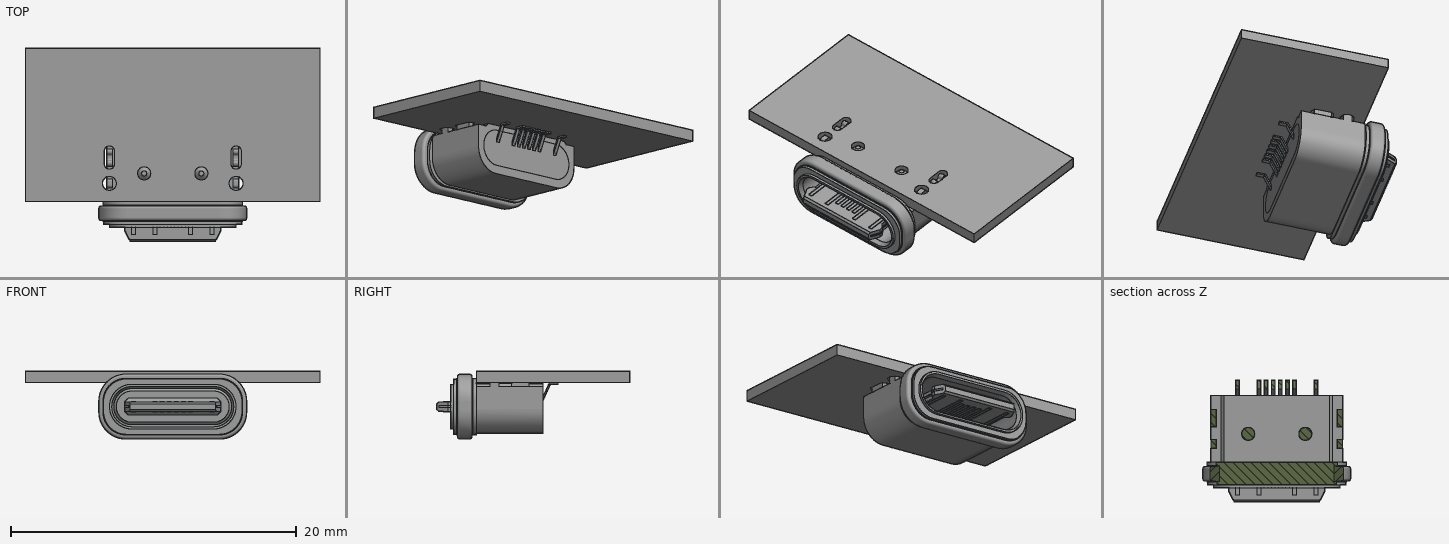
import cadquery as cq
import math


BOARD_WIDTH = 20.65
BOARD_DEPTH = 10.74
BOARD_THICKNESS = 0.8
BOARD_TOP = 2.48
BOARD_BOTTOM = BOARD_TOP - BOARD_THICKNESS

TAB_X = 4.43
SLOT_Y = 3.08
TAB_HOLE_Y = 1.27
PEG_X = 2.0
PEG_Y = 1.97
SLOT_LENGTH = 1.62
SLOT_WIDTH = 0.7
TAB_HOLE_DIAMETER = 0.97
PEG_DIAMETER = 0.92

BODY_HALF_WIDTH = 4.63
BODY_DEPTH = 4.67
BODY_TOP = 1.62
BODY_BOTTOM = -1.87
BODY_LOWER_RADIUS = 1.68
LEDGE_Z = 1.4
CROWN_HALF_WIDTH = 3.9

RING_SPAN_X = 3.27
RING_SPAN_Z = 0.365
REAR_FLANGE_RADIUS = 1.62
FRONT_FLANGE_RADIUS = 1.57
SEAL_RADIUS = 1.915
GROOVE_RADIUS = 1.47
REAR_FLANGE_CHAMFER = 0.07
SEAL_FILLET = 0.2
SEAL_BACK = -0.3
SEAL_FRONT = -1.34
FLANGE_FRONT = -1.6
SHOULDER_FRONT = -1.4
LIP_FRONT = -1.8

STADIUM_SPAN = 2.865
LIP_RADIUS = 1.565
MOUTH_RADIUS = 1.41
BORE_RADIUS = 1.265
MOUTH_DEPTH = 0.34

TAB_THICKNESS = 2 * (BODY_HALF_WIDTH - TAB_X)
TAB_TOP = 2.4
TAB_ROUND = 0.2
LONG_TAB_LENGTH = 1.22
LONG_TAB_INSET = 0.01
SHORT_TAB_LENGTH = 0.64
TAB_VALLEY_WIDTH = 0.14
TAB_VALLEY_RADIUS = 0.13
PEG_TIP_DIAMETER = 0.36
PEG_SHOULDER = 2.1
PEG_TOP = 2.4

INSERT_FRONT = 2.0
INSERT_CHAMFER = 0.175
COLLAR_FRONT = 1.6
COLLAR_HALF_WIDTH = 3.38
COLLAR_HALF_HEIGHT = 0.6
COLLAR_CORNER = 0.27
COLLAR_BEVEL = 0.26
TONGUE_TIP = -2.78
TONGUE_TAPER_START = -2.0
TONGUE_HALF_WIDTH = 3.36
TONGUE_TIP_HALF_WIDTH = 2.98
NECK_START = -1.7
NECK_INSET = 0.3
TONGUE_HALF_HEIGHT = 0.335
TONGUE_TIP_CHAMFER = 0.14
PLATE_THICKNESS = 0.13
PLATE_OVERHANG = 0.03
PLATE_FRONT = -2.62
CONTACT_WIDTH = 0.26
CONTACT_HEIGHT = 0.036
LONG_CONTACT_FRONT = -2.32
SHORT_CONTACT_FRONT = -1.8
LONG_CONTACT_XS = (-2.75, -1.25, 1.25, 2.75)
SHORT_CONTACT_XS = (-0.75, -0.25, 0.25, 0.75)
LEAD_THICKNESS = 0.12
LEAD_END = 5.73
LEAD_BEND = 5.11
LEAD_ROOT_Z = 0.72


def xz_plane(y):
    """Sketch plane across the plug axis; extruding runs toward -Y."""
    return cq.Workplane("XZ", origin=(0, y, 0))


def centered_box(width, height, y_back, y_front):
    return xz_plane(y_back).rect(width, height).extrude(y_back - y_front)


def ring_block(radius, y_back, y_front):
    block = centered_box(2 * (RING_SPAN_X + radius), 2 * (RING_SPAN_Z + radius), y_back, y_front)
    return block.edges("|Y").fillet(radius)


def stadium(plane, radius):
    return plane.slot2D(2 * (STADIUM_SPAN + radius), 2 * radius)


def stadium_block(radius, y_back, y_front):
    return stadium(xz_plane(y_back), radius).extrude(y_back - y_front)


def board_sketch(x, y):
    """Sketch plane on the underside of the board, centred on one opening."""
    return cq.Workplane("XY", origin=(x, y, BOARD_BOTTOM))


def make_board():
    board = cq.Workplane("XY").box(BOARD_WIDTH, BOARD_DEPTH, BOARD_THICKNESS, centered=(True, False, False))
    board = board.translate((0, 0, BOARD_BOTTOM))
    for side in (-1, 1):
        slot = board_sketch(side * TAB_X, SLOT_Y).slot2D(SLOT_LENGTH, SLOT_WIDTH, 90)
        tab_hole = board_sketch(side * TAB_X, TAB_HOLE_Y).circle(TAB_HOLE_DIAMETER / 2)
        peg_hole = board_sketch(side * PEG_X, PEG_Y).circle(PEG_DIAMETER / 2)
        for opening in (slot, tab_hole, peg_hole):
            board = board.cut(opening.extrude(BOARD_THICKNESS))
    return board


def make_body():
    """Block with rounded lower corners and a raised, bevelled crown between two side ledges."""
    body = centered_box(2 * BODY_HALF_WIDTH, LEDGE_Z - BODY_BOTTOM, BODY_DEPTH, 0)
    body = body.translate((0, 0, (LEDGE_Z + BODY_BOTTOM) / 2))
    body = body.edges("|Y and <Z").fillet(BODY_LOWER_RADIUS)
    crown_top_half_width = CROWN_HALF_WIDTH - (BODY_TOP - LEDGE_Z)
    crown = xz_plane(BODY_DEPTH).polyline([
        (-CROWN_HALF_WIDTH, LEDGE_Z),
        (CROWN_HALF_WIDTH, LEDGE_Z),
        (crown_top_half_width, BODY_TOP),
        (-crown_top_half_width, BODY_TOP),
    ]).close().extrude(BODY_DEPTH)
    return body.union(crown)


def make_flange():
    rear = ring_block(REAR_FLANGE_RADIUS, 0, SEAL_BACK).faces("<Y").edges().chamfer(REAR_FLANGE_CHAMFER)
    groove_core = ring_block(GROOVE_RADIUS, 0, FLANGE_FRONT)
    front = ring_block(FRONT_FLANGE_RADIUS, SEAL_FRONT, FLANGE_FRONT)
    shoulder = ring_block(REAR_FLANGE_RADIUS, SEAL_FRONT, SHOULDER_FRONT)
    lip = stadium_block(LIP_RADIUS, SEAL_FRONT, LIP_FRONT)
    return rear.union(groove_core).union(shoulder).union(front).union(lip)


def make_bore():
    bore = stadium_block(BORE_RADIUS, BODY_DEPTH, LIP_FRONT)
    mouth_taper = math.degrees(math.atan((MOUTH_RADIUS - BORE_RADIUS) / MOUTH_DEPTH))
    mouth_sketch = stadium(xz_plane(LIP_FRONT), MOUTH_RADIUS)
    mouth = mouth_sketch.extrude(-MOUTH_DEPTH, taper=mouth_taper)
    return bore.union(mouth)


def make_short_tab(x):
    height = TAB_TOP - LEDGE_Z
    tab = cq.Workplane("XY").box(TAB_THICKNESS, SHORT_TAB_LENGTH, height, centered=(True, True, False))
    tab = tab.faces(">Z").edges("|X").fillet(TAB_ROUND)
    return tab.translate((x, TAB_HOLE_Y, LEDGE_Z))


def make_long_tab(x):
    """Tab with two rounded humps and a flat valley between them."""
    half_length = LONG_TAB_LENGTH / 2
    shoulder = TAB_TOP - TAB_ROUND
    valley_floor = shoulder - TAB_VALLEY_RADIUS
    valley_end = TAB_VALLEY_WIDTH / 2
    hump_inner = valley_end + TAB_VALLEY_RADIUS
    profile = (
        cq.Workplane("YZ", origin=(x, SLOT_Y, 0))
        .moveTo(-half_length, LEDGE_Z)
        .lineTo(-half_length, shoulder)
        .radiusArc((TAB_ROUND - half_length, TAB_TOP), TAB_ROUND)
        .lineTo(-hump_inner - TAB_ROUND, TAB_TOP)
        .radiusArc((-hump_inner, shoulder), TAB_ROUND)
        .radiusArc((-valley_end, valley_floor), -TAB_VALLEY_RADIUS)
        .lineTo(valley_end, valley_floor)
        .radiusArc((hump_inner, shoulder), -TAB_VALLEY_RADIUS)
        .radiusArc((hump_inner + TAB_ROUND, TAB_TOP), TAB_ROUND)
        .lineTo(half_length - TAB_ROUND, TAB_TOP)
        .radiusArc((half_length, shoulder), TAB_ROUND)
        .lineTo(half_length, LEDGE_Z)
        .close()
    )
    return profile.extrude(TAB_THICKNESS / 2, both=True)


def make_peg(x):
    profile = (
        cq.Workplane("XZ")
        .moveTo(0, BODY_TOP)
        .lineTo(PEG_DIAMETER / 2, BODY_TOP)
        .lineTo(PEG_DIAMETER / 2, PEG_SHOULDER)
        .lineTo(PEG_TIP_DIAMETER / 2, PEG_TOP)
        .lineTo(0, PEG_TOP)
        .close()
    )
    return profile.revolve().translate((x, PEG_Y, 0))


def make_housing():
    housing = make_body().union(make_flange())
    for side in (-1, 1):
        housing = housing.union(make_long_tab(side * (TAB_X - LONG_TAB_INSET)))
        housing = housing.union(make_short_tab(side * TAB_X))
        housing = housing.union(make_peg(side * PEG_X))
    return housing.cut(make_bore())


def make_seal():
    seal = ring_block(SEAL_RADIUS, SEAL_BACK, SEAL_FRONT)
    seal = seal.faces("<Y or >Y").edges().fillet(SEAL_FILLET)
    return seal.cut(ring_block(GROOVE_RADIUS, SEAL_BACK, SEAL_FRONT))


def make_collar():
    collar = centered_box(2 * COLLAR_HALF_WIDTH, 2 * COLLAR_HALF_HEIGHT, INSERT_FRONT, COLLAR_FRONT)
    collar = collar.edges("|Y").chamfer(COLLAR_CORNER)
    return collar.faces("<Y").edges("|X").chamfer(COLLAR_BEVEL)


def tongue_outline(overhang, y_front):
    """From back to front: a narrow neck, a short step out, a parallel head and a taper to the tip."""
    taper = (TONGUE_HALF_WIDTH - TONGUE_TIP_HALF_WIDTH) / (TONGUE_TAPER_START - TONGUE_TIP)
    head_x = TONGUE_HALF_WIDTH + overhang
    front_x = head_x - taper * (TONGUE_TAPER_START - y_front)
    neck_x = head_x - NECK_INSET
    right_side = [
        (neck_x, INSERT_FRONT),
        (neck_x, NECK_START + NECK_INSET),
        (head_x, NECK_START),
        (head_x, TONGUE_TAPER_START),
        (front_x, y_front),
    ]
    left_side = [(-x, y) for x, y in reversed(right_side)]
    return cq.Workplane("XY").polyline(right_side + left_side).close()


def make_tongue():
    tongue = tongue_outline(0, TONGUE_TIP).extrude(TONGUE_HALF_HEIGHT, both=True)
    tongue = tongue.faces("<Y").edges("|X").chamfer(TONGUE_TIP_CHAMFER)
    mid_plate = tongue_outline(PLATE_OVERHANG, PLATE_FRONT).extrude(PLATE_THICKNESS / 2, both=True)
    return tongue.union(mid_plate)


def make_contact_pair(x, y_front):
    """One bar through the tongue stands proud as a contact on both its faces."""
    height = 2 * (TONGUE_HALF_HEIGHT + CONTACT_HEIGHT)
    return centered_box(CONTACT_WIDTH, height, INSERT_FRONT, y_front).translate((x, 0, 0))


def make_lead(x):
    """Strip rising from the back of the insert to a foot under the board."""
    slope_angle = math.atan2(BOARD_BOTTOM - LEAD_ROOT_Z, LEAD_BEND - BODY_DEPTH)
    root_drop = LEAD_THICKNESS / math.cos(slope_angle)
    bend_shift = LEAD_THICKNESS * math.tan(slope_angle / 2)
    foot_bottom = BOARD_BOTTOM - LEAD_THICKNESS
    profile = cq.Workplane("YZ", origin=(x, 0, 0)).polyline([
        (BODY_DEPTH, LEAD_ROOT_Z),
        (LEAD_BEND, BOARD_BOTTOM),
        (LEAD_END, BOARD_BOTTOM),
        (LEAD_END, foot_bottom),
        (LEAD_BEND + bend_shift, foot_bottom),
        (BODY_DEPTH, LEAD_ROOT_Z - root_drop),
    ]).close()
    return profile.extrude(CONTACT_WIDTH / 2, both=True)


def make_insert():
    insert = stadium_block(BORE_RADIUS, BODY_DEPTH, INSERT_FRONT)
    insert = insert.faces("<Y").edges().chamfer(INSERT_CHAMFER)
    insert = insert.union(make_collar()).union(make_tongue())
    for xs, y_front in ((LONG_CONTACT_XS, LONG_CONTACT_FRONT), (SHORT_CONTACT_XS, SHORT_CONTACT_FRONT)):
        for x in xs:
            insert = insert.union(make_contact_pair(x, y_front)).union(make_lead(x))
    return insert


board = make_board()
housing = make_housing()
seal = make_seal()
insert = make_insert()

result = cq.Compound.makeCompound([board.val(), housing.val(), seal.val(), insert.val()])